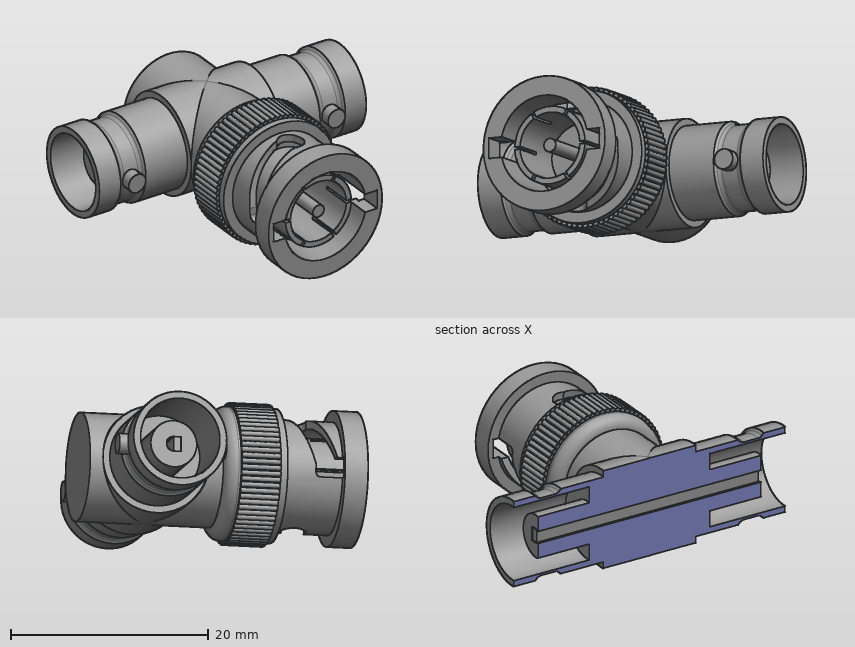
import cadquery as cq
import math


body_radius = 5.55
body_left = -6.86
shoulder_x = 13.42

arm_radius = 4.84
arm_span = 32.51
arm_end = arm_span / 2
bore_radius = 4.13
bore_depth = 9.0
insulator_radius = 2.39
insulator_recess = 2.88
contact_radius = 0.75
contact_pocket_depth = 0.1

pin_radius = 1.04
pin_tip = 5.57
pin_inset = 4.11
groove_width = 3.06
neck_radius = 4.43
neck_fillet = 0.6

finger_radius = 4.0
finger_bore_radius = 3.4
finger_end = 20.5
finger_count = 6
slit_width = 0.3
slit_start = 16.92
centre_pin_radius = 0.68

nut_left = 7.0
nut_right = 21.77
grip_radius = 6.85
grip_end = shoulder_x
knurl_start = 8.56
knurl_end = 12.63
knurl_radius = 7.24
knurl_count = 72
knurl_fill = 0.86
dome_radius = grip_radius - body_radius
sleeve_radius = 5.76
sleeve_bore_radius = 4.95
rim_start = 19.37
rim_radius = 6.93

entry_width = 2.1
entry_left = 16.6
entry_corner = 0.5
keyway_radius = 6.3
ramp_width = 2.47
ramp_start = 17.92
ramp_end = 15.38
seat_radius = 1.43
seat_x = 15.4
slot_count = 2
cut_inner = 4.5
cut_outer = 6.3

X_AXIS = ((0, 0, 0), (1, 0, 0))


def x_cylinder(radius, start, end):
    return cq.Workplane("YZ", origin=(start, 0, 0)).circle(radius).extrude(end - start)


def make_arm():
    """Jack arm along +Y, starting on the tee axis."""
    cone_end_radius = neck_radius + neck_fillet * (1 - math.cos(math.pi / 4))
    cone_length = arm_radius - cone_end_radius
    fillet_length = neck_fillet * math.sin(math.pi / 4)
    fillet_mid_length = fillet_length - neck_fillet * math.sin(math.pi / 8)
    fillet_mid_radius = neck_radius + neck_fillet * (1 - math.cos(math.pi / 8))
    groove_low = arm_end - pin_inset - groove_width / 2
    groove_high = groove_low + groove_width

    arm = (
        cq.Workplane("XY")
        .lineTo(arm_radius, 0)
        .lineTo(arm_radius, groove_low)
        .lineTo(cone_end_radius, groove_low + cone_length)
        .threePointArc(
            (fillet_mid_radius, groove_low + cone_length + fillet_mid_length),
            (neck_radius, groove_low + cone_length + fillet_length),
        )
        .lineTo(neck_radius, groove_high - cone_length - fillet_length)
        .threePointArc(
            (fillet_mid_radius, groove_high - cone_length - fillet_mid_length),
            (cone_end_radius, groove_high - cone_length),
        )
        .lineTo(arm_radius, groove_high)
        .lineTo(arm_radius, arm_end)
        .lineTo(0, arm_end)
        .close()
        .revolve(360, (0, 0, 0), (0, 1, 0))
    )
    pins = x_cylinder(pin_radius, -pin_tip, pin_tip).translate((0, arm_end - pin_inset, 0))
    bore = (
        cq.Workplane("XZ", origin=(0, arm_end, 0))
        .circle(bore_radius)
        .extrude(bore_depth)
    )
    insulator = (
        cq.Workplane("XZ", origin=(0, arm_end - insulator_recess, 0))
        .circle(insulator_radius)
        .extrude(bore_depth - insulator_recess)
    )
    pocket = cq.Workplane("XY").box(
        contact_radius, contact_pocket_depth, 2 * contact_radius, centered=(False, False, True)
    ).translate((0, arm_end - insulator_recess - contact_pocket_depth, 0))
    return arm.union(pins).cut(bore).union(insulator).cut(pocket)


def make_plug_fingers():
    """Slit contact sleeve around a centre pin, on the plug axis."""
    fingers = x_cylinder(finger_radius, shoulder_x, finger_end)
    fingers = fingers.cut(x_cylinder(finger_bore_radius, shoulder_x, finger_end))
    slit = (
        cq.Workplane("XZ")
        .moveTo(finger_end, 0)
        .slot2D(2 * (finger_end - slit_start), slit_width)
        .extrude(finger_radius)
    )
    for i in range(finger_count):
        fingers = fingers.cut(slit.rotate(*X_AXIS, i * 360 / finger_count))
    return fingers


def make_tee_body():
    body = x_cylinder(body_radius, body_left, shoulder_x)
    cross = cq.Workplane("XZ").circle(body_radius).extrude(body_radius, both=True)
    arm = make_arm()
    body = body.union(cross).union(arm).union(arm.mirror("XZ"))

    contact_hole = (
        cq.Workplane("XZ")
        .moveTo(0, contact_radius)
        .threePointArc((-contact_radius, 0), (0, -contact_radius))
        .close()
        .extrude(arm_end, both=True)
    )
    centre_pin = x_cylinder(centre_pin_radius, shoulder_x, finger_end)
    return body.cut(contact_hole).union(make_plug_fingers()).union(centre_pin)


def make_knurl():
    """Ring of rounded ribs running along X."""
    pitch = 2 * math.pi / knurl_count
    half_rib = knurl_fill * pitch / 2

    def point(radius, angle):
        return (radius * math.sin(angle), radius * math.cos(angle))

    outline = cq.Workplane("YZ", origin=(knurl_start, 0, 0)).moveTo(*point(grip_radius, -half_rib))
    for i in range(knurl_count):
        rib = i * pitch
        outline = outline.threePointArc(point(knurl_radius, rib), point(grip_radius, rib + half_rib))
        if i < knurl_count - 1:
            outline = outline.lineTo(*point(grip_radius, rib + pitch - half_rib))
    return outline.close().extrude(knurl_end - knurl_start)


def make_bayonet_slot():
    """Cutter for one slot: entry on the -Y side, ramp up to a round seat at +Z."""
    entry = (
        cq.Workplane("XY")
        .box(nut_right - entry_left, keyway_radius - cut_inner, entry_width, centered=(False, False, True))
        .translate((entry_left, -keyway_radius, 0))
        .edges("|Y and <X and <Z")
        .fillet(entry_corner)
    )
    seat = (
        cq.Workplane("XY", origin=(seat_x, 0, cut_inner))
        .circle(seat_radius)
        .extrude(cut_outer - cut_inner)
    )
    rise = ramp_start - ramp_end
    path = cq.Wire.makeHelix(4 * rise, rise, sleeve_radius)
    ramp = (
        cq.Workplane("XZ")
        .center((cut_inner + cut_outer) / 2, 0)
        .rect(cut_outer - cut_inner, ramp_width)
        .sweep(cq.Workplane(path), isFrenet=True)
    )
    laid_along_x = cq.Plane(origin=(ramp_start, 0, 0), xDir=(0, -1, 0), normal=(-1, 0, 0))
    ramp = cq.Workplane(ramp.val().moved(cq.Location(laid_along_x)))
    return [entry, ramp, seat]


def make_coupling_nut():
    dome_mid = dome_radius * math.sin(math.pi / 4)
    nut = (
        cq.Workplane("XY")
        .moveTo(nut_left, body_radius)
        .threePointArc(
            (nut_left + dome_radius - dome_mid, body_radius + dome_mid),
            (nut_left + dome_radius, grip_radius),
        )
        .lineTo(grip_end, grip_radius)
        .lineTo(grip_end, sleeve_radius)
        .lineTo(rim_start, sleeve_radius)
        .lineTo(rim_start, rim_radius)
        .lineTo(nut_right, rim_radius)
        .lineTo(nut_right, sleeve_bore_radius)
        .lineTo(shoulder_x, sleeve_bore_radius)
        .lineTo(shoulder_x, body_radius)
        .close()
        .revolve(360, *X_AXIS)
    )
    knurl = make_knurl().cut(x_cylinder(body_radius, knurl_start, knurl_end))
    nut = nut.union(knurl)
    for i in range(slot_count):
        for cutter in make_bayonet_slot():
            nut = nut.cut(cutter.rotate(*X_AXIS, i * 360 / slot_count))
    return nut


tee_body = make_tee_body()
coupling_nut = make_coupling_nut()

result = cq.Compound.makeCompound([tee_body.val(), coupling_nut.val()])